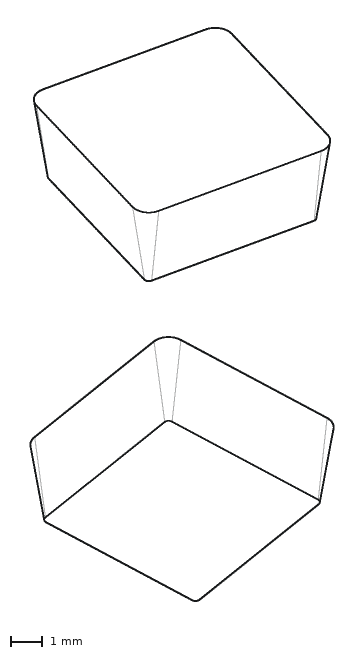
import cadquery as cq

top_side = 7.11
thickness = 3.1
top_corner_radius = 0.6
relief_angle = 8.0

top_outline = cq.Sketch().rect(top_side, top_side).vertices().fillet(top_corner_radius)

result = (
    cq.Workplane("XY", origin=(0, 0, thickness))
    .placeSketch(top_outline)
    .extrude(-thickness, taper=relief_angle)
)